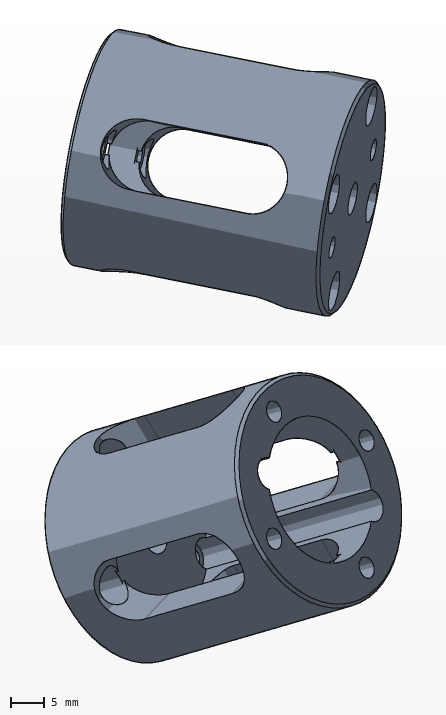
import cadquery as cq

length = 40.3
outer_diameter = 36.0
edge_chamfer = 0.5
bore_diameter = 22.5
floor_thickness = 6.05

center_hole_diameter = 5.0
screw_hole_diameter = 3.25
corner_hole_offset = 9.95
side_hole_offset = 11.05
counterbore_diameter = 4.9
counterbore_floor_depth = 3.02

slot_start = 4.85
slot_length = 28.9
slot_width = 10.7
slot_angles = (45, 135)

head_pocket_diameter = 5.95
head_pocket_start = 4.25

bore_depth = length - floor_thickness


def rods(points, diameter, depth):
    """Cylinders along X, starting at the open end, at (Y, Z) points."""
    return cq.Workplane("YZ").pushPoints(points).circle(diameter / 2).extrude(depth)


def window_pair(angle):
    """Slot cutter across the full diameter, turned about the X axis."""
    slot = (
        cq.Workplane("XY")
        .center(slot_start + slot_length / 2, 0)
        .slot2D(slot_length, slot_width)
        .extrude(outer_diameter / 2 + edge_chamfer, both=True)
    )
    return slot.rotate((0, 0, 0), (1, 0, 0), angle)


axis_point = [(0, 0)]
corner_points = [
    (y_side * corner_hole_offset, z_side * corner_hole_offset)
    for y_side in (-1, 1)
    for z_side in (-1, 1)
]
side_points = [(-side_hole_offset, 0), (side_hole_offset, 0)]

result = rods(axis_point, outer_diameter, length).faces("<X or >X").chamfer(edge_chamfer)

result = result.cut(rods(axis_point, bore_diameter, bore_depth))
result = result.cut(rods(axis_point, center_hole_diameter, length))

result = result.cut(rods(corner_points, screw_hole_diameter, length))
result = result.cut(rods(side_points, screw_hole_diameter, length))
counterbore_depth = bore_depth + counterbore_floor_depth
result = result.cut(rods(side_points, counterbore_diameter, counterbore_depth))

head_pockets = rods(corner_points, head_pocket_diameter, length - head_pocket_start)
result = result.cut(head_pockets.translate((head_pocket_start, 0, 0)))

for slot_angle in slot_angles:
    result = result.cut(window_pair(slot_angle))